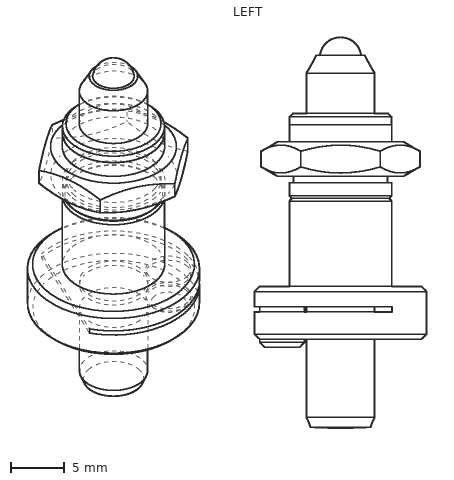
import cadquery as cq
import math

length = 36.33
pin_radius = 6.35 / 2
tip_cone_start = 33.0
tip_cone_end = 34.65
tip_cone_end_radius = 2.25
ball_base_radius = 1.93
tail_chamfer_top = 1.05
tail_end_radius = 2.8
tail_crown = 0.1

sleeve_radius = 9.52 / 2
cap_radius = 9.5 / 2
sleeve_bottom = 13.2
sleeve_top = 29.25
sleeve_top_chamfer = 0.33
cap_bottom = 28.2
relief_radius = 8.75 / 2
relief_bottom = 22.8
relief_top = 24.35
vee_center = 21.35
vee_half_height = 0.25
vee_depth = 0.2

nut_flats = 12.8
nut_sides = 6
nut_bottom = 23.4
nut_top = 26.63
nut_face_radius = 5.85
nut_chamfer_angle = 30

flange_radius = 8.0
flange_bottom = 8.3
flange_chamfer = 0.47
slot_bottom = 10.83
slot_height = 0.47
slot_end_y = -4.75

screw_radius = 4.18 / 2
screw_y = 5.4
screw_bottom = 7.52
screw_chamfer = 0.47


def make_pin():
    ball_height = length - tip_cone_end
    ball_radius = (ball_base_radius**2 + ball_height**2) / (2 * ball_height)
    half_angle = math.asin(ball_base_radius / ball_radius) / 2
    ball_middle = (
        ball_radius * math.sin(half_angle),
        length - ball_radius * (1 - math.cos(half_angle)),
    )
    crown_radius = (tail_end_radius**2 + tail_crown**2) / (2 * tail_crown)
    crown_middle_x = tail_end_radius / 2
    crown_middle = (crown_middle_x, crown_radius - math.sqrt(crown_radius**2 - crown_middle_x**2))
    return (
        cq.Workplane("XZ")
        .moveTo(0, 0)
        .threePointArc(crown_middle, (tail_end_radius, tail_crown))
        .lineTo(pin_radius, tail_chamfer_top)
        .lineTo(pin_radius, tip_cone_start)
        .lineTo(tip_cone_end_radius, tip_cone_end)
        .lineTo(ball_base_radius, tip_cone_end)
        .threePointArc(ball_middle, (0, length))
        .close()
        .revolve(360, (0, 0), (0, 1))
    )


def make_sleeve():
    profile = [
        (0, sleeve_bottom),
        (sleeve_radius, sleeve_bottom),
        (sleeve_radius, vee_center - vee_half_height),
        (sleeve_radius - vee_depth, vee_center),
        (sleeve_radius, vee_center + vee_half_height),
        (sleeve_radius, relief_bottom),
        (relief_radius, relief_bottom),
        (relief_radius, relief_top),
        (sleeve_radius, relief_top),
        (sleeve_radius, cap_bottom),
        (cap_radius, cap_bottom),
        (cap_radius, sleeve_top - sleeve_top_chamfer),
        (cap_radius - sleeve_top_chamfer, sleeve_top),
        (0, sleeve_top),
    ]
    return cq.Workplane("XZ").polyline(profile).close().revolve(360, (0, 0), (0, 1))


def make_nut():
    corner_radius = nut_flats / 2 / math.cos(math.pi / nut_sides)
    chamfer_width = corner_radius - nut_face_radius
    chamfer_height = chamfer_width * math.tan(math.radians(nut_chamfer_angle))
    hexagon = (
        cq.Workplane("XY", origin=(0, 0, nut_bottom))
        .transformed(rotate=(0, 0, 90))
        .polygon(nut_sides, 2 * corner_radius)
        .extrude(nut_top - nut_bottom)
    )
    envelope = (
        cq.Workplane("XY", origin=(0, 0, nut_bottom))
        .circle(corner_radius)
        .extrude(nut_top - nut_bottom)
        .faces("|Z")
        .edges()
        .chamfer(chamfer_height, chamfer_width)
    )
    return hexagon.intersect(envelope)


def make_flange():
    flange = (
        cq.Workplane("XY", origin=(0, 0, flange_bottom))
        .circle(flange_radius)
        .extrude(sleeve_bottom - flange_bottom)
        .faces("|Z")
        .edges()
        .chamfer(flange_chamfer)
    )
    slot = cq.Workplane("XY", origin=(0, slot_end_y, slot_bottom)).box(
        2 * flange_radius,
        flange_radius - slot_end_y,
        slot_height,
        centered=(True, False, False),
    )
    return flange.cut(slot)


def make_screw():
    screw_top = (slot_bottom + slot_height + sleeve_bottom) / 2
    return (
        cq.Workplane("XY", origin=(0, screw_y, screw_bottom))
        .circle(screw_radius)
        .extrude(screw_top - screw_bottom)
        .faces("<Z")
        .edges()
        .chamfer(screw_chamfer)
    )


result = (
    make_pin()
    .union(make_sleeve())
    .union(make_nut())
    .union(make_flange())
    .union(make_screw())
)